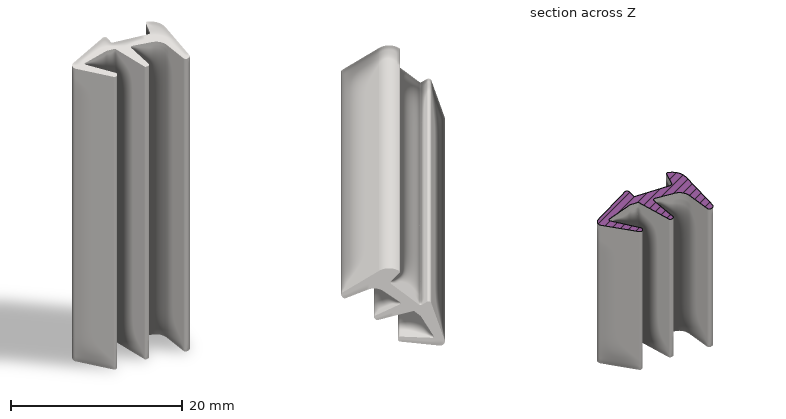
import cadquery as cq
import math

LENGTH = 50.0

WEB_TOP_WIDTH = 1.40
WEB_MID_WIDTH = 1.19
WEB_LOW_WIDTH = 1.04
WEB_HEIGHT = 4.78
WEB_CORNER_RADIUS = 0.22

HEAD_OVERHANG = 1.98
HEAD_EDGE_RADIUS = 0.18
SHOULDER_X = -1.75
SHOULDER_Y = 1.66
SHOULDER_RADIUS = 2.1
UPPER_LIP_ROOT_Y = 0.84
UPPER_LIP_ROOT_RADIUS = 1.75
UPPER_LIP_TOP = (4.94, 3.34)
UPPER_LIP_BOTTOM = (5.22, 2.58)
UPPER_LIP_TIP_RADIUS = 0.32

MIDDLE_LIP_ROOT_TOP_Y = -2.95
MIDDLE_LIP_ROOT_BOTTOM_Y = -4.68
MIDDLE_LIP_ROOT_RADIUS = 0.2
MIDDLE_LIP_TOP = (4.77, -1.60)
MIDDLE_LIP_BOTTOM = (4.91, -2.22)
MIDDLE_LIP_TIP_RADIUS = 0.22

BARB_X = -1.34
BARB_Y = -5.12
BARB_RADIUS = 0.35
FOOT_INNER_TOP_Y = -5.72
FOOT_INNER_BEND_RADIUS = 0.8
VALLEY = (2.22, -8.96)
VALLEY_RADIUS = 0.15
LOWER_LIP_TOP = (4.92, -5.56)
LOWER_LIP_BOTTOM = (5.41, -6.02)
LOWER_LIP_TIP_RADIUS = 0.3
FOOT_POINT = (2.16, -10.78)
FOOT_POINT_RADIUS = 0.58

HEAD_CORNERS = [
    ((0, 0), WEB_CORNER_RADIUS),
    ((-HEAD_OVERHANG, 0), HEAD_EDGE_RADIUS),
    ((SHOULDER_X, SHOULDER_Y), SHOULDER_RADIUS),
    (UPPER_LIP_TOP, UPPER_LIP_TIP_RADIUS),
    (UPPER_LIP_BOTTOM, UPPER_LIP_TIP_RADIUS),
    ((WEB_TOP_WIDTH, UPPER_LIP_ROOT_Y), UPPER_LIP_ROOT_RADIUS),
]
MIDDLE_LIP_CORNERS = [
    ((WEB_MID_WIDTH, MIDDLE_LIP_ROOT_TOP_Y), MIDDLE_LIP_ROOT_RADIUS),
    (MIDDLE_LIP_TOP, MIDDLE_LIP_TIP_RADIUS),
    (MIDDLE_LIP_BOTTOM, MIDDLE_LIP_TIP_RADIUS),
    ((WEB_LOW_WIDTH, MIDDLE_LIP_ROOT_BOTTOM_Y), MIDDLE_LIP_ROOT_RADIUS),
]
FOOT_CORNERS = [
    ((WEB_LOW_WIDTH, FOOT_INNER_TOP_Y), FOOT_INNER_BEND_RADIUS),
    (VALLEY, VALLEY_RADIUS),
    (LOWER_LIP_TOP, LOWER_LIP_TIP_RADIUS),
    (LOWER_LIP_BOTTOM, LOWER_LIP_TIP_RADIUS),
    (FOOT_POINT, FOOT_POINT_RADIUS),
    ((BARB_X, BARB_Y), BARB_RADIUS),
    ((0, -WEB_HEIGHT), WEB_CORNER_RADIUS),
]


def direction(start, end):
    """Unit vector from start to end."""
    span = math.dist(start, end)
    return ((end[0] - start[0]) / span, (end[1] - start[1]) / span)


def along(start, heading, distance):
    """Point at a distance from start along a heading."""
    return (start[0] + heading[0] * distance, start[1] + heading[1] * distance)


def corner_arc(before, corner, after, radius):
    """Start, middle and end of the arc that rounds a corner tangentially."""
    to_before = direction(corner, before)
    to_after = direction(corner, after)
    cosine = to_before[0] * to_after[0] + to_before[1] * to_after[1]
    half_angle = math.acos(cosine) / 2
    setback = radius / math.tan(half_angle)
    start = along(corner, to_before, setback)
    end = along(corner, to_after, setback)
    chord_middle = ((start[0] + end[0]) / 2, (start[1] + end[1]) / 2)
    middle = along(corner, direction(corner, chord_middle), radius / math.sin(half_angle) - radius)
    return start, middle, end


def rounded_outline(corners):
    """Closed outline through the corners, each rounded by its own radius."""
    arcs = []
    for index, (point, radius) in enumerate(corners):
        before = corners[index - 1][0]
        after = corners[(index + 1) % len(corners)][0]
        arcs.append(corner_arc(before, point, after, radius))

    last_end = arcs[-1][2]
    outline = cq.Workplane("XY").moveTo(*last_end)
    for start, middle, end in arcs:
        outline = outline.lineTo(*start).threePointArc(middle, end)
    return outline.close()


result = rounded_outline(HEAD_CORNERS + MIDDLE_LIP_CORNERS + FOOT_CORNERS).extrude(LENGTH)